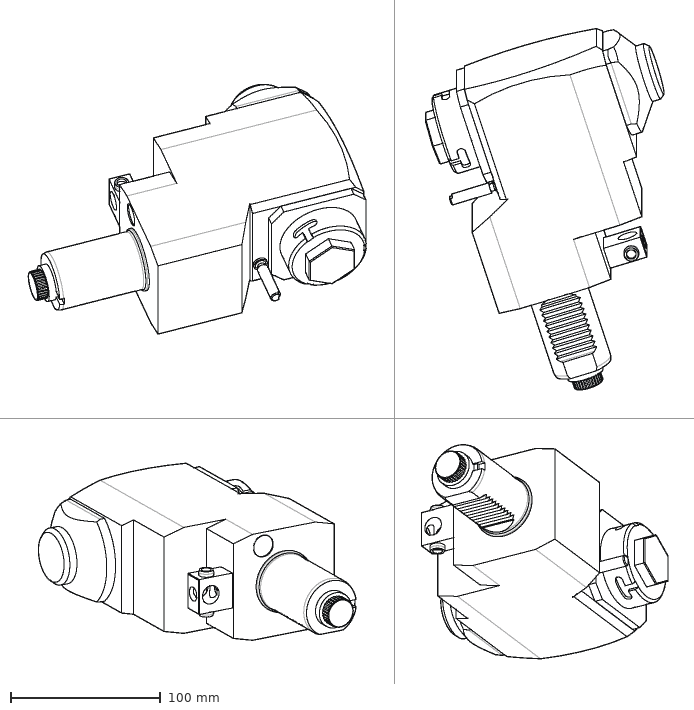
import cadquery as cq
import math


half_height = 37.5
side_slope = math.tan(math.radians(15))
head_left = -81.3
head_right = 14.5
head_right_break = 10.0
head_right_slope = 1.0
neck_left = -72.1
left_break = -56.8
base_half_width = 39.2
base_break = 24.3
base_top = 35.3
base_right_top = 59.3
head_bottom = 75.3
housing_top = 154.1
relief_left = 9.0
edge_bevel = 3.2

trim_x = -23.1
trim_radius = 130.5
trim_y = 149.8
trim_growth = 0.9

spindle_y = 120.2

cap_end = -109.5
cap_neck_start = -106.5
cap_cone_start = -101.0
cap_cone_end = -88.2
cap_tip_radius = 17.0
cap_neck_radius = 19.5
cap_radius = 36.9
cap_flat_height = 29.3
cap_flat_start = -84.7
cap_top = 150.0

plate_right = 20.2
plate_half_size = 33.5
plate_corner = 8.7
nut_right = 39.8
nut_radius = 27.5
nut_chamfer = 1.8
nut_slot_count = 3
nut_slot_x = 29.8
nut_slot_width = 5.5
nut_slot_length = 18.8
nut_slot_depth = 2.3
nut_lead_width = 4.8
hex_right = 47.6
hex_across_corners = 37.0
hex_chamfer = 0.7

nozzle_y = 80.5
nozzle_z = -17.5
nozzle_radius = 3.7
nozzle_start = 19.7
nozzle_neck_radius = 2.5
nozzle_collar_radius = 4.8
nozzle_collar_right = 15.8
nozzle_neck_left = 17.0
nozzle_chamfer = 0.7
nozzle_notch_length = 2.0
nozzle_notch_depth = 1.8

shank_diameter = 40.0
shank_radius = shank_diameter / 2
shank_length = 62.5
shank_chamfer_length = 2.5
shank_chamfer = 0.7
seal_radius = 21.5
seal_length = 2.0
seal_edge_radius = 1.0
transition_radius = 20.4
transition_end = 3.5
drive_neck_radius = 12.4
drive_neck_length = 5.0
spline_radius = 10.0
spline_root_radius = 9.6
spline_count = 30
spline_bevel = 0.7
spline_end = 74.9

rack_start = 8.0
rack_tip_height = 16.0
rack_root_height = 14.2
rack_root_count = 10
rack_first_root = 11.5
rack_last_root = 47.5
rack_pitch = (rack_last_root - rack_first_root) / (rack_root_count - 1)
end_flat_start = 50.2
end_flat_height = 17.2

key_slot_width = 5.3
key_slot_depth = 3.0
key_slot_inner_depth = 1.4
key_slot_step = 15.0

block_left = -65.3
block_bottom = 1.4
block_top = 16.0
block_half_height = 12.4
block_bevel = 0.5
screw_x = -55.9
screw_y = 7.3
screw_radius = 5.0
screw_tip_height = 16.0
screw_edge = 0.5
screw_edge_length = 1.5
socket_radius = 3.2
socket_depth = 2.3
outlet_radius = 6.5
inlet_y = 8.7
inlet_radius = 4.8
inlet_depth = 19.5
inlet_drill_radius = 1.4
inlet_drill_depth = 2.3

recess_x = -15.8
recess_z = 27.7
recess_radius = 7.5
recess_depth = 1.0


def box(x_range, y_range, z_range):
    """Box between the given limits along each axis."""
    sizes = [high - low for low, high in (x_range, y_range, z_range)]
    return cq.Workplane("XY").box(*sizes, centered=False).translate((x_range[0], y_range[0], z_range[0]))


def cylinder_x(radius, x_start, x_end, y=0, z=0):
    """Cylinder along X."""
    return cq.Workplane("YZ", origin=(x_start, y, z)).circle(radius).extrude(x_end - x_start)


def cylinder_y(radius, y_start, y_end, x=0, z=0):
    """Cylinder along Y."""
    return cq.Workplane("XZ", origin=(x, y_start, z)).circle(radius).extrude(y_start - y_end)


def housing_block(left, left_shoulder, right_shoulder, right, y_start, y_end, right_slope=side_slope):
    """Prism along Y: flat top and bottom with sloped strips towards both sides."""
    left_height = half_height - side_slope * (left_shoulder - left)
    right_height = half_height - right_slope * (right - right_shoulder)
    upper = [
        (left, left_height),
        (left_shoulder, half_height),
        (right_shoulder, half_height),
        (right, right_height),
    ]
    lower = [(x, -z) for x, z in reversed(upper)]
    outline = cq.Workplane("XZ", origin=(0, y_start, 0)).polyline(upper + lower).close()
    return outline.extrude(y_start - y_end)


def make_housing():
    """Stepped body of head, neck and base."""
    head = housing_block(
        head_left,
        left_break,
        head_right_break,
        head_right,
        head_bottom,
        housing_top,
        right_slope=head_right_slope,
    )
    bevel = (
        cq.Workplane("XY")
        .moveTo(head_left, housing_top)
        .lineTo(head_left + edge_bevel, housing_top)
        .lineTo(head_left, housing_top - edge_bevel)
        .close()
        .extrude(half_height, both=True)
    )
    neck = housing_block(neck_left, left_break, base_break, base_half_width, base_top, head_bottom)
    base = housing_block(-base_half_width, -base_break, base_break, base_half_width, 0, base_top)
    relief = (
        cq.Workplane("XY")
        .moveTo(relief_left, head_bottom)
        .lineTo(base_half_width, head_bottom)
        .lineTo(base_half_width, base_right_top)
        .close()
        .extrude(half_height, both=True)
    )
    return head.cut(bevel).union(neck.cut(relief)).union(base)


def make_cap():
    """Turned cap, cut by sloped flats above and below and by a flat on its +Y side."""
    profile = [
        (cap_end, 0),
        (cap_end, cap_tip_radius),
        (cap_neck_start, cap_neck_radius),
        (cap_cone_start, cap_neck_radius),
        (cap_cone_end, cap_radius),
        (head_left, cap_radius),
        (head_left, 0),
    ]
    cap = cq.Workplane("XY").polyline(profile).close().revolve(360, (0, 0, 0), (1, 0, 0))
    end_height = cap_flat_height - side_slope * (cap_flat_start - cap_end)
    upper = [(cap_end, end_height), (cap_flat_start, cap_flat_height), (head_left, cap_flat_height)]
    lower = [(x, -z) for x, z in reversed(upper)]
    sides = cq.Workplane("XZ", origin=(0, -cap_radius, 0)).polyline(upper + lower).close()
    envelope = sides.extrude(-(cap_radius + cap_top - spindle_y))
    return cap.intersect(envelope).translate((0, spindle_y, 0))


def make_edge_trim():
    """Double cone about a vertical axis that bounds the +Y edges of housing and cap."""
    middle_radius = trim_radius + trim_growth * half_height
    profile = [
        (0, -half_height),
        (trim_radius, -half_height),
        (middle_radius, 0),
        (trim_radius, half_height),
        (0, half_height),
    ]
    cone = cq.Workplane("XZ").polyline(profile).close().revolve(360, (0, 0, 0), (0, 1, 0))
    return cone.translate((trim_x, trim_y - trim_radius, 0))


def make_plate():
    side = 2 * plate_half_size
    plate = cq.Workplane("YZ", origin=(head_right, spindle_y, 0)).rect(side, side)
    return plate.extrude(plate_right - head_right).edges("|X").chamfer(plate_corner)


def make_nut():
    """Collet nut with spanner slots that open to its end face, and the hexagon in front of it."""
    nut = cylinder_x(nut_radius, plate_right, nut_right).faces(">X").chamfer(nut_chamfer)
    floor = cylinder_x(nut_radius - nut_slot_depth, plate_right, nut_right)
    slot = (
        cq.Workplane("XZ", origin=(nut_slot_x, 0, 0))
        .slot2D(nut_slot_length, nut_slot_width, 90)
        .extrude(-nut_radius)
    )
    lead = box((nut_slot_x, nut_right), (0, nut_radius), (-nut_lead_width / 2, nut_lead_width / 2))
    spanner_slot = slot.union(lead).cut(floor)
    for index in range(nut_slot_count):
        angle = index * 360 / nut_slot_count
        nut = nut.cut(spanner_slot.rotate((0, 0, 0), (1, 0, 0), angle))
    hexagon = (
        cq.Workplane("YZ", origin=(nut_right, 0, 0))
        .polygon(6, hex_across_corners)
        .extrude(hex_right - nut_right)
        .rotate((0, 0, 0), (1, 0, 0), 90)
        .faces(">X")
        .chamfer(hex_chamfer)
    )
    return nut.union(hexagon).translate((0, spindle_y, 0))


def make_nozzle():
    collar = cylinder_x(nozzle_collar_radius, head_right, nozzle_collar_right)
    neck = cylinder_x(nozzle_neck_radius, head_right, nozzle_start)
    shoulder = (
        cq.Workplane("XY")
        .moveTo(nozzle_collar_right, 0)
        .lineTo(nozzle_collar_right, nozzle_radius)
        .lineTo(nozzle_neck_left, nozzle_neck_radius)
        .lineTo(nozzle_neck_left, 0)
        .close()
        .revolve(360, (0, 0, 0), (1, 0, 0))
    )
    tube = cylinder_x(nozzle_radius, nozzle_start, hex_right).faces(">X").chamfer(nozzle_chamfer)
    notch = box(
        (hex_right - nozzle_notch_length, hex_right),
        (nozzle_radius - nozzle_notch_depth, nozzle_radius),
        (-nozzle_radius, nozzle_radius),
    )
    nozzle = collar.union(neck).union(shoulder).union(tube.cut(notch))
    return nozzle.translate((0, nozzle_y, nozzle_z))


def make_rack_cut():
    """Material removed below the shank: lead-in slope, teeth and end flat."""
    lead_in = rack_start - (seal_radius - rack_tip_height)
    points = [(-lead_in, -seal_radius), (-rack_start, -rack_tip_height)]
    for index in range(rack_root_count):
        root = rack_first_root + index * rack_pitch
        points.append((-(root - rack_pitch / 2), -rack_tip_height))
        points.append((-root, -rack_root_height))
    last_tip = rack_last_root + rack_pitch / 2
    points += [
        (-last_tip, -rack_tip_height),
        (-end_flat_start, -end_flat_height),
        (-shank_length, -end_flat_height),
        (-shank_length, -seal_radius),
    ]
    return cq.Workplane("YZ").polyline(points).close().extrude(shank_radius, both=True)


def make_key_slot():
    """Radial slot in the end face, shallow near the axis and deeper at the rim."""
    slot_width = (-key_slot_width / 2, key_slot_width / 2)
    outer = box((key_slot_step, shank_radius), (-shank_length, -shank_length + key_slot_depth), slot_width)
    inner = box((0, key_slot_step), (-shank_length, -shank_length + key_slot_inner_depth), slot_width)
    return outer.union(inner)


def make_spline():
    """Splined drive end with V-shaped teeth, bevelled at its free end."""
    points = []
    for index in range(2 * spline_count):
        radius = spline_radius if index % 2 == 0 else spline_root_radius
        angle = math.pi * index / spline_count
        points.append((radius * math.cos(angle), radius * math.sin(angle)))
    neck_end = shank_length + drive_neck_length
    outline = cq.Workplane("XZ", origin=(0, -neck_end, 0)).polyline(points).close()
    bevelled_bar = cylinder_y(spline_radius, -neck_end, -spline_end).faces("<Y").chamfer(spline_bevel)
    return outline.extrude(spline_end - neck_end).intersect(bevelled_bar)


def make_shank():
    profile = [
        (0, 0),
        (transition_radius, 0),
        (transition_radius, -seal_length),
        (shank_radius, -transition_end),
        (shank_radius, -shank_length + shank_chamfer_length),
        (shank_radius - shank_chamfer, -shank_length),
        (0, -shank_length),
    ]
    shank = cq.Workplane("XY").polyline(profile).close().revolve(360, (0, 0, 0), (0, 1, 0))
    shank = shank.cut(make_rack_cut()).cut(make_key_slot())
    seal = cylinder_y(seal_radius, 0, -seal_length).faces("<Y").edges().fillet(seal_edge_radius)
    neck_start = -shank_length + key_slot_depth
    neck_end = -shank_length - drive_neck_length
    drive_neck = cylinder_y(drive_neck_radius, neck_start, neck_end)
    return shank.union(seal).union(drive_neck).union(make_spline())


def make_coolant_block():
    """Block with clamping screws above and below, a through outlet and a side inlet."""
    block = box(
        (block_left, -base_half_width),
        (block_bottom, block_top),
        (-block_half_height, block_half_height),
    )
    block = block.faces("<X").chamfer(block_bevel)
    screws = (
        cq.Workplane("XY", origin=(screw_x, screw_y, 0))
        .circle(screw_radius)
        .extrude(screw_tip_height, both=True)
        .faces("<Z or >Z")
        .chamfer(screw_edge_length, screw_edge)
    )
    block = block.union(screws)
    for side in (1, -1):
        socket = (
            cq.Workplane("XY", origin=(screw_x, screw_y, side * screw_tip_height))
            .circle(socket_radius)
            .extrude(-side * socket_depth)
        )
        block = block.cut(socket)
    outlet = cylinder_y(outlet_radius, block_bottom, block_top, x=screw_x)
    inlet_floor = block_left + inlet_depth
    inlet = cylinder_x(inlet_radius, block_left, inlet_floor, y=inlet_y)
    drill = cylinder_x(inlet_drill_radius, inlet_floor, inlet_floor + inlet_drill_depth, y=inlet_y)
    return block.cut(outlet).cut(inlet).cut(drill)


housing = make_housing().union(make_cap()).intersect(make_edge_trim())
recess = cylinder_y(recess_radius, 0, recess_depth, x=recess_x, z=recess_z)
result = housing.cut(recess)
for part in (make_plate(), make_nut(), make_nozzle(), make_shank(), make_coolant_block()):
    result = result.union(part)